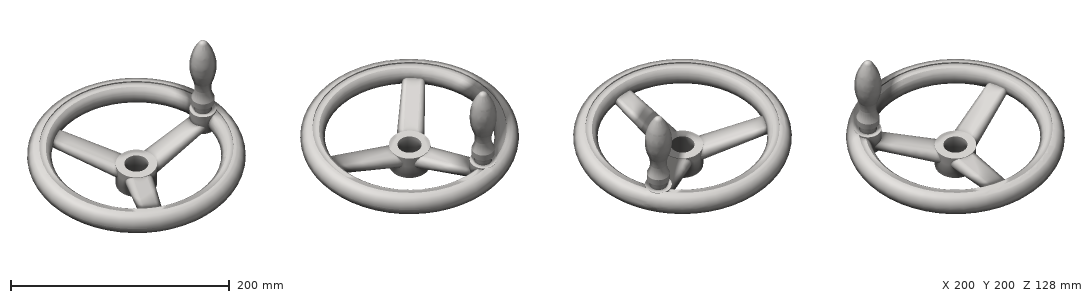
import cadquery as cq
import math

hub_radius = 19.0
hub_height = 24.0
bore_radius = 11.0

wheel_radius = 100.0
rim_section_radius = 11.2
rim_center_radius = wheel_radius - rim_section_radius
rim_center_z = 34.0
rim_top_z = rim_center_z + rim_section_radius
rim_step_depth = 1.7

spoke_angles = (90, 210, 330)
spoke_flat_width = 12.8
spoke_axis_start_z = 12.4
spoke_round_at_axis = 7.05
spoke_round_at_rim = 3.8

handle_y = 80.0
boss_radius = 12.3
boss_bottom_z = 24.5

pin_radius = 8.2
collar_radius = 10.6
collar_bottom_z = 53.0
collar_top_z = 59.5
neck_radius = 7.7
neck_z = 71.0
grip_bottom_radius = 8.9
grip_bottom_z = 80.0
grip_radius = 12.5
grip_widest_z = 98.6
tip_radius = 4.0
tip_z = 125.7
handle_top_z = 128.0


def tangent_arc_radius(along, offset):
    """Radius of an arc that runs the distance along its end tangent and drifts sideways by offset."""
    return (along**2 + offset**2) / (2 * offset)


def make_rim():
    step_z = rim_top_z - rim_step_depth
    step_inner_offset = math.sqrt(rim_section_radius**2 - (step_z - rim_center_z) ** 2)
    diagonal = rim_section_radius * math.sqrt(0.5)
    outer_middle = (rim_center_radius + diagonal, rim_center_z + diagonal)
    outer_equator = (wheel_radius, rim_center_z)
    bottom = (rim_center_radius, rim_center_z - rim_section_radius)
    inner_equator = (rim_center_radius - rim_section_radius, rim_center_z)
    step_inner_edge = (rim_center_radius - step_inner_offset, step_z)
    section = (
        cq.Workplane("XZ")
        .moveTo(rim_center_radius, rim_top_z)
        .threePointArc(outer_middle, outer_equator)
        .threePointArc(bottom, inner_equator)
        .tangentArcPoint(step_inner_edge, relative=False)
        .lineTo(rim_center_radius, step_z)
        .close()
    )
    return section.revolve(360, (0, 0), (0, 1))


def make_hub():
    return cq.Workplane("XY").circle(hub_radius).extrude(hub_height)


def make_spoke(angle):
    """Tapered oval bar rising along +X from the wheel axis to the rim center, then turned to its angle."""
    rise = rim_center_z - spoke_axis_start_z
    length = math.hypot(rim_center_radius, rise)
    plane = cq.Plane(
        origin=(0, 0, spoke_axis_start_z),
        xDir=(0, 1, 0),
        normal=(rim_center_radius, 0, rise),
    )
    spoke = (
        cq.Workplane(plane)
        .slot2D(spoke_flat_width + 2 * spoke_round_at_axis, 2 * spoke_round_at_axis)
        .workplane(offset=length)
        .slot2D(spoke_flat_width + 2 * spoke_round_at_rim, 2 * spoke_round_at_rim)
        .loft(ruled=True)
    )
    return spoke.rotate((0, 0, 0), (0, 0, 1), angle)


def make_boss():
    return (
        cq.Workplane("XY", origin=(0, handle_y, boss_bottom_z))
        .circle(boss_radius)
        .extrude(rim_top_z - boss_bottom_z)
    )


def make_handle():
    collar_edge = (collar_radius, collar_top_z)
    neck = (neck_radius, neck_z)
    grip_bottom = (grip_bottom_radius, grip_bottom_z)
    tip_edge = (tip_radius, tip_z)
    lower_neck_arc = tangent_arc_radius(neck_z - collar_top_z, collar_radius - neck_radius)
    upper_neck_arc = tangent_arc_radius(grip_bottom_z - neck_z, grip_bottom_radius - neck_radius)
    tip_dome_arc = tangent_arc_radius(tip_radius, handle_top_z - tip_z)
    profile = (
        cq.Workplane("XZ", origin=(0, handle_y, 0))
        .moveTo(0, boss_bottom_z)
        .lineTo(pin_radius, boss_bottom_z)
        .lineTo(pin_radius, collar_bottom_z)
        .lineTo(collar_radius, collar_bottom_z)
        .lineTo(*collar_edge)
        .radiusArc(neck, lower_neck_arc)
        .radiusArc(grip_bottom, upper_neck_arc)
        .threePointArc((grip_radius, grip_widest_z), tip_edge)
        .radiusArc((0, handle_top_z), -tip_dome_arc)
        .close()
    )
    return profile.revolve(360, (0, 0), (0, 1))


wheel = make_rim().union(make_hub())
for spoke_angle in spoke_angles:
    wheel = wheel.union(make_spoke(spoke_angle))
wheel = wheel.union(make_boss()).union(make_handle())
bore = cq.Workplane("XY").circle(bore_radius).extrude(hub_height)
result = wheel.cut(bore)